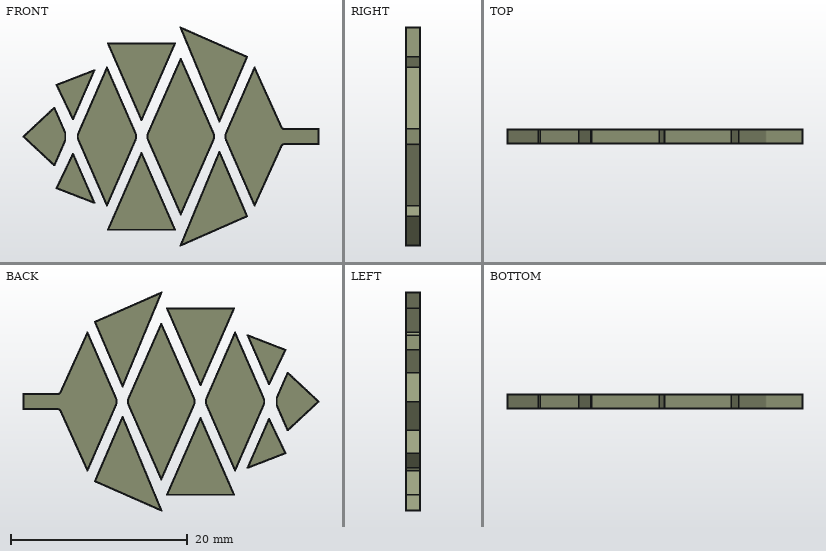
import cadquery as cq

length = 33.45
thickness = 1.6
overall_height = 24.73

tip_corner = (3.5, 3.28)
tip_back_x = 4.75
tip_back_half_height = 0.45

front_diamond_x = 9.47
front_diamond_half_width = 3.4
small_diamond_half_height = 7.83
middle_diamond_x = 17.85
middle_diamond_half_width = 3.88
middle_diamond_half_height = 8.85
side_round = 1.0

stalk_diamond_x = 26.2
stalk_diamond_half_width = 3.4
stalk_start_x = 29.35
stalk_half_width = 0.87
stalk_root_round = 0.3

front_triangle = [(3.75, 5.85), (8.05, 7.53), (5.62, 1.95)]
middle_triangle = [(9.57, 10.57), (17.2, 10.57), (13.4, 1.85)]
rear_triangle = [(17.8, overall_height / 2), (25.35, 9.05), (22.22, 1.7)]


def tile(corners):
    """Extrude a closed XZ outline through the leaf thickness, centred on Y = 0."""
    return cq.Workplane("XZ").polyline(corners).close().extrude(thickness / 2, both=True)


def mirrored(corners):
    """Reflect an outline across the leaf axis."""
    return [(x, -z) for x, z in corners]


def make_leaf_tip():
    upper = [tip_corner, (tip_back_x, tip_back_half_height)]
    return tile([(0, 0)] + upper + mirrored(upper)[::-1])


def make_diamond(center_x, half_width, half_height):
    """Diamond whose left and right points are rounded."""
    corners = [
        (center_x - half_width, 0),
        (center_x, half_height),
        (center_x + half_width, 0),
        (center_x, -half_height),
    ]
    return tile(corners).edges("<X or >X").edges("|Y").fillet(side_round)


def make_stalk_diamond():
    """Diamond with a rounded left point and a stalk that blends into its right side."""
    upper = [
        (stalk_diamond_x, small_diamond_half_height),
        (stalk_start_x, stalk_half_width),
        (length, stalk_half_width),
    ]
    left_point = (stalk_diamond_x - stalk_diamond_half_width, 0)
    outline = tile([left_point] + upper + mirrored(upper)[::-1])
    root_points = [(stalk_start_x, 0, z) for z in (stalk_half_width, -stalk_half_width)]
    rounded = outline.edges("<X").fillet(side_round)
    for point in root_points:
        rounded = rounded.edges(cq.NearestToPointSelector(point)).fillet(stalk_root_round)
    return rounded


def make_triangle_pair(corners):
    """One triangle above the leaf axis and its mirror image below."""
    return [tile(corners), tile(mirrored(corners))]


leaf_tip = make_leaf_tip()
front_diamond = make_diamond(front_diamond_x, front_diamond_half_width, small_diamond_half_height)
middle_diamond = make_diamond(middle_diamond_x, middle_diamond_half_width, middle_diamond_half_height)
stalk_diamond = make_stalk_diamond()
triangles = []
for triangle_corners in (front_triangle, middle_triangle, rear_triangle):
    triangles += make_triangle_pair(triangle_corners)

axis_tiles = [leaf_tip, front_diamond, middle_diamond, stalk_diamond]
result = cq.Compound.makeCompound([body.val() for body in axis_tiles + triangles])